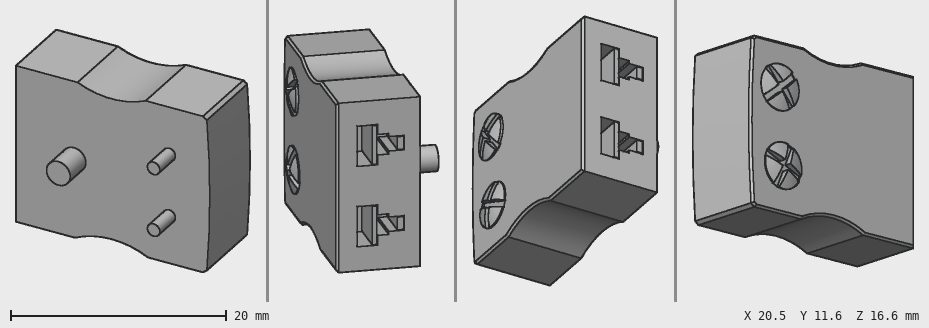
import cadquery as cq
import math


length = 20.5
thickness = 8.0
height = 16.6
end_bulge = 0.3
corner_cut_x = 0.4
corner_cut_z = 0.3
back_chamfer = 0.23

grip_x = 10.13
grip_radius = 8.71
top_grip_depth = 0.78
bottom_grip_depth = 0.9

pin_length = 3.0
large_pin_diameter = 2.5
large_pin_x = 6.15
small_pin_diameter = 1.31
small_pin_x = 16.22
small_pin_spacing = 6.55

socket_spacing = 7.87
socket_depth = 4.1
wide_back_y = 6.0
wide_front_y = 4.04
wide_height = 3.94
step_front_y = 3.0
step_height = 2.0
narrow_front_y = 1.5
narrow_height = 1.41
tab_gap = 0.08
wide_tab_thickness = 0.45
narrow_tab_thickness = 0.6

screw_spacing = 7.5
screw_centre_z = 0.06
upper_screw_x = 16.9
lower_screw_x = 16.45
upper_screw_tilt = 3.4
upper_slot_angle = 50.8
lower_slot_angle = 23.5
head_radius = 2.25
dome_radius = 5.95
rim_height = 0.12
seat_depth = 1.02
slot_width = 0.7
slot_depth = 0.3


def grip(side, depth):
    """Cylinder that scoops a finger grip from the top (side = 1) or bottom (side = -1)."""
    axis_z = side * (height / 2 + grip_radius - depth)
    return cq.Workplane("XZ").center(grip_x, axis_z).circle(grip_radius).extrude(-thickness)


def housing_block():
    corner_x = length - end_bulge
    corner_z = height / 2 - corner_cut_z
    block = (
        cq.Workplane("XZ")
        .moveTo(0, -height / 2)
        .lineTo(corner_x - corner_cut_x, -height / 2)
        .lineTo(corner_x, -corner_z)
        .threePointArc((length, 0), (corner_x, corner_z))
        .lineTo(corner_x - corner_cut_x, height / 2)
        .lineTo(0, height / 2)
        .close()
        .extrude(-thickness)
    )
    block = block.cut(grip(1, top_grip_depth)).cut(grip(-1, bottom_grip_depth))
    return block.faces(">Y").edges().chamfer(back_chamfer)


def pin(x, z, diameter):
    return cq.Workplane("XZ").center(x, z).circle(diameter / 2).extrude(pin_length)


def socket_box(front_y, back_y, box_height, z):
    """Box reaching inwards from the -X face."""
    box = cq.Workplane("XY").box(socket_depth, back_y - front_y, box_height, centered=(False, False, True))
    return box.translate((0, front_y, z))


def socket(z):
    wide = socket_box(wide_front_y, wide_back_y, wide_height, z)
    step = socket_box(step_front_y, wide_front_y, step_height, z)
    narrow = socket_box(narrow_front_y, step_front_y, narrow_height, z)
    return wide.union(step).union(narrow)


def contact_tab(slot_front_y, tab_thickness, slot_height, z):
    """Tab that stands on the socket floor and ends flush with the -X face."""
    front_y = slot_front_y + tab_gap
    return socket_box(front_y, front_y + tab_thickness, slot_height - 2 * tab_gap, z)


def plain_head():
    """Domed head about the Y axis, with y = 0 on the housing face."""
    dome_height = dome_radius - math.sqrt(dome_radius**2 - head_radius**2)
    dome_middle_radius = head_radius / 2
    dome_middle_drop = dome_radius - math.sqrt(dome_radius**2 - dome_middle_radius**2)
    top_y = rim_height + dome_height
    return (
        cq.Workplane("XY")
        .moveTo(0, -seat_depth)
        .lineTo(head_radius, -seat_depth)
        .lineTo(head_radius, rim_height)
        .threePointArc((dome_middle_radius, top_y - dome_middle_drop), (0, top_y))
        .close()
        .revolve(360, (0, 0, 0), (0, 1, 0))
    )


def slotted_head(slot_angle):
    """Head with two crossed slots that run out through the rim."""
    floor_y = rim_height - slot_depth
    slot = cq.Workplane("XY").box(3 * head_radius, dome_radius, slot_width, centered=(True, False, True))
    slot = slot.translate((0, floor_y, 0))
    head = plain_head()
    for angle in (slot_angle, slot_angle + 90):
        head = head.cut(slot.rotate((0, 0, 0), (0, 1, 0), -angle))
    return head


def place_screw(head, x, z, tilt):
    return head.rotate((0, 0, 0), (0, 0, 1), -tilt).translate((x, thickness, z))


upper_place = (upper_screw_x, screw_centre_z + screw_spacing / 2, upper_screw_tilt)
lower_place = (lower_screw_x, screw_centre_z - screw_spacing / 2, 0)

housing = housing_block()
housing = housing.union(pin(large_pin_x, 0, large_pin_diameter))
for side in (-1, 1):
    housing = housing.union(pin(small_pin_x, side * small_pin_spacing / 2, small_pin_diameter))
    socket_z = side * socket_spacing / 2
    housing = housing.cut(socket(socket_z))
    housing = housing.union(contact_tab(wide_front_y, wide_tab_thickness, wide_height, socket_z))
    housing = housing.union(contact_tab(narrow_front_y, narrow_tab_thickness, narrow_height, socket_z))
for place in (upper_place, lower_place):
    housing = housing.cut(place_screw(plain_head(), *place))

screws = []
for place, slot_angle in ((upper_place, upper_slot_angle), (lower_place, lower_slot_angle)):
    screws.append(place_screw(slotted_head(slot_angle), *place).val())

result = cq.Compound.makeCompound([housing.val(), *screws])